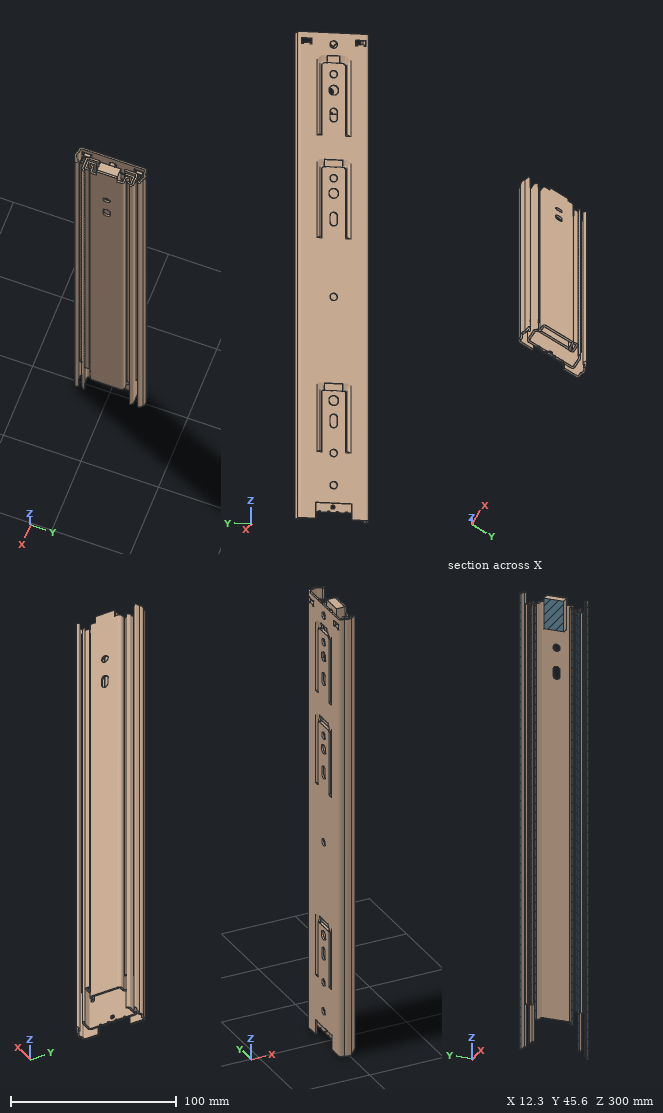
import cadquery as cq


LENGTH = 300.0
HALF_WIDTH = 22.8
STACK_DEPTH = 12.3
SHEET = 1.2

FLANGE_Y = 21.3
OUTER_CORNER_RADIUS = 1.2
RACE_START_X = 3.5
RACE_END_X = 7.8
LIP_Y = 20.5
LIP_X = 10.5
LIP_TIP_X = 9.5
LIP_TIP_Y = 19.5
LIP_CHAMFER = 3.5
NOTCH_WIDTH = 22.2
NOTCH_HEIGHT = 10.0

SMALL_HOLE = 4.5
LARGE_HOLE = 6.0
SLOT_LENGTH = 8.5
SMALL_HOLE_HEIGHTS = (292.8, 274.5, 210.3, 137.0, 40.8, 21.0)
LARGE_HOLE_HEIGHTS = (264.5, 201.0, 73.2)
SLOT_HEIGHTS = (249.3, 185.0, 60.5)

BEADS = ((236.5, 286.0, 3.0, 7.8), (173.0, 221.7, 2.0, 11.5), (41.0, 83.7, 1.2, 11.5))
BEAD_HALF_WIDTH = 10.5
BEAD_FLOOR_HALF_WIDTH = 8.5
BEAD_INNER_HALF_WIDTH = 7.5
BEAD_BAR = 4.5
BEAD_DEPTH = 1.0
BEAD_BACK_X = 1.95

WINDOW_WIDTH = 6.3
WINDOW_HEIGHT = 3.5
WINDOW_Y = 16.8
WINDOW_Z = 294.3
TAB_WIDTH = 4.2
TAB_THICKNESS = 1.0
TAB_END_X = BEAD_BACK_X

MIDDLE_BOTTOM = 4.5
MIDDLE_TOP = 294.0
MIDDLE_WEB_X = 2.0
MIDDLE_FLANGE_Y = 16.2
MIDDLE_BEND_X = 10.2
MIDDLE_TIP_X = 11.5
MIDDLE_TIP_Y = 15.0
MIDDLE_OPENING_WIDTH = 16.2
END_HOLE = 2.5
END_HOLE_Z = 7.8
END_NOTCH = 1.5
END_NOTCH_Y = (-8.5, -2.7, 2.7, 8.5)

INNER_BOTTOM = 21.0
INNER_TOP = 295.0
INNER_FLANGE_Y = 10.5
INNER_FLANGE_END_X = 7.8
INNER_LIP_X = 7.0
INNER_LIP_Y = 12.0
INNER_HOLE = 4.5
INNER_HOLE_Z = 265.8

CAGE_BOTTOM = 30.0
CAGE_TOP = 293.5
OUTER_CAGE_SHEET = 0.5
OUTER_CAGE_X = 3.0
OUTER_CAGE_END_X = 7.2
OUTER_CAGE_Y = 19.0
OUTER_CAGE_FOOT_Y = 17.5
INNER_CAGE_SHEET = 1.2
INNER_CAGE_X = 4.8
INNER_CAGE_END_X = 9.5
INNER_CAGE_Y = 14.7
INNER_CAGE_HOOK_Y = 13.0
CAGE_OPENING_WIDTH = 18.5

OPENING_BOTTOM = 250.2

STOP_WIDTH = 13.2
STOP_X = 5.5
STOP_BOTTOM = 279.0
STOP_TOP = 299.5
STUD_DIAMETER = 3.5
STUD_X = 1.5
STUD_Z = 294.0


def box(x_range, y_range, z_range):
    """A block between the given limits."""
    size = [end - start for start, end in (x_range, y_range, z_range)]
    corner = (x_range[0], y_range[0], z_range[0])
    return cq.Workplane("XY").box(*size, centered=False).translate(corner)


def sheet(centreline, thickness, bottom, top):
    """Sheet metal with round edges that follows an open centreline in the XY plane."""
    section = centreline.wire().offset2D(thickness / 2)
    return section.extrude(top - bottom).translate((0, 0, bottom))


def both_sides(half):
    """One solid from a half section and its mirror image about Y = 0."""
    return half.union(half.mirror("XZ")).clean()


def top_opening(width):
    """Cutter that opens a rail or cage at the centre, from OPENING_BOTTOM upwards."""
    return box((0, STACK_DEPTH), (-width / 2, width / 2), (OPENING_BOTTOM, LENGTH))


def web_hole(diameter, heights):
    """Round cutters along X, centred on the rails."""
    points = [(0, z) for z in heights]
    return cq.Workplane("YZ").pushPoints(points).circle(diameter / 2).extrude(STACK_DEPTH)


def web_slot(length, heights):
    """Upright slot cutters along X, as wide as the small holes."""
    points = [(0, z) for z in heights]
    return cq.Workplane("YZ").pushPoints(points).slot2D(length, SMALL_HOLE, 90).extrude(STACK_DEPTH)


def panel(plane, half_width, bottom, top, chamfer):
    """Upright panel outline with its two upper corners cut off."""
    right = [
        (half_width, bottom),
        (half_width, top - chamfer),
        (half_width - chamfer, top),
    ]
    left = [(-y, z) for y, z in reversed(right)]
    return plane.polyline(right + left).close()


def bead_ridge(bottom, top, chamfer):
    """U-shaped ridge that stands out behind the outer web along a bead."""
    ridge = panel(cq.Workplane("YZ"), BEAD_HALF_WIDTH, bottom, top, chamfer).extrude(BEAD_BACK_X)
    inside = BEAD_INNER_HALF_WIDTH - SHEET
    centre = panel(cq.Workplane("YZ"), inside, bottom, top - BEAD_BAR - SHEET, chamfer / 2)
    return ridge.cut(centre.extrude(BEAD_BACK_X))


def bead_groove(bottom, top, chamfer):
    """U-shaped groove with a sloping outer flank and an upright inner wall."""
    slope = BEAD_HALF_WIDTH - BEAD_FLOOR_HALF_WIDTH
    floor_edge = BEAD_FLOOR_HALF_WIDTH - BEAD_INNER_HALF_WIDTH
    bar_bottom = top - BEAD_BAR
    mouth = panel(cq.Workplane("YZ"), BEAD_HALF_WIDTH, bottom, top, chamfer)
    floor_plane = mouth.workplane(offset=BEAD_DEPTH)
    floor_top = bar_bottom + floor_edge
    groove = panel(
        floor_plane, BEAD_FLOOR_HALF_WIDTH, bottom + slope / 2, floor_top, chamfer / 2
    ).loft(ruled=True)
    centre = panel(cq.Workplane("YZ"), BEAD_INNER_HALF_WIDTH, bottom, bar_bottom, chamfer / 2)
    return groove.cut(centre.extrude(BEAD_DEPTH))


def make_outer_rail():
    web_x = SHEET / 2
    race_y = HALF_WIDTH - SHEET / 2
    race_middle_x = (RACE_START_X + RACE_END_X) / 2
    half_line = (
        cq.Workplane("XY")
        .moveTo(web_x, 0)
        .lineTo(web_x, FLANGE_Y - OUTER_CORNER_RADIUS)
        .radiusArc((web_x + OUTER_CORNER_RADIUS, FLANGE_Y), OUTER_CORNER_RADIUS)
        .lineTo(RACE_START_X, FLANGE_Y)
        .threePointArc((race_middle_x, race_y), (RACE_END_X, FLANGE_Y))
        .lineTo(LIP_X, LIP_Y)
        .lineTo(LIP_TIP_X, LIP_TIP_Y)
    )
    rail = both_sides(sheet(half_line, SHEET, 0, LENGTH))

    for bottom, top, chamfer, width in BEADS:
        rail = rail.union(bead_ridge(bottom, top, chamfer))
        rail = rail.cut(bead_groove(bottom, top, chamfer))
        rail = rail.cut(box((0, BEAD_BACK_X), (-width / 2, width / 2), (top - BEAD_BAR, top)))

    rail = rail.cut(web_hole(SMALL_HOLE, SMALL_HOLE_HEIGHTS))
    rail = rail.cut(web_hole(LARGE_HOLE, LARGE_HOLE_HEIGHTS))
    rail = rail.cut(web_slot(SLOT_LENGTH, SLOT_HEIGHTS))

    window_bottom = WINDOW_Z - WINDOW_HEIGHT / 2
    for side in (1, -1):
        centre = side * WINDOW_Y
        window_y = (centre - WINDOW_WIDTH / 2, centre + WINDOW_WIDTH / 2)
        window = box((0, SHEET), window_y, (window_bottom, window_bottom + WINDOW_HEIGHT))
        tab_y = (centre - TAB_WIDTH / 2, centre + TAB_WIDTH / 2)
        tab = box((0, TAB_END_X), tab_y, (window_bottom, window_bottom + TAB_THICKNESS))
        rail = rail.cut(window).union(tab)

    notch = box((0, SHEET), (-NOTCH_WIDTH / 2, NOTCH_WIDTH / 2), (0, NOTCH_HEIGHT))
    rail = rail.cut(notch)

    lip_end = LIP_X + SHEET
    slope = [(lip_end - LIP_CHAMFER, 0), (lip_end, 0), (lip_end, LIP_CHAMFER)]
    slope_cutter = cq.Workplane("XZ").polyline(slope).close().extrude(HALF_WIDTH, both=True)
    return rail.cut(slope_cutter)


def make_middle_rail():
    web_x = MIDDLE_WEB_X + SHEET / 2
    half_line = (
        cq.Workplane("XY")
        .moveTo(web_x, 0)
        .lineTo(web_x, MIDDLE_FLANGE_Y - SHEET)
        .radiusArc((web_x + SHEET, MIDDLE_FLANGE_Y), SHEET)
        .lineTo(MIDDLE_BEND_X, MIDDLE_FLANGE_Y)
        .lineTo(MIDDLE_TIP_X, MIDDLE_TIP_Y)
    )
    rail = both_sides(sheet(half_line, SHEET, MIDDLE_BOTTOM, MIDDLE_TOP))

    rail = rail.cut(top_opening(MIDDLE_OPENING_WIDTH))
    rail = rail.cut(web_hole(END_HOLE, (END_HOLE_Z,)))

    notch_points = [(y, MIDDLE_BOTTOM) for y in END_NOTCH_Y]
    notches = cq.Workplane("YZ").pushPoints(notch_points).circle(END_NOTCH / 2).extrude(STACK_DEPTH)
    return rail.cut(notches)


def make_inner_rail():
    web_x = STACK_DEPTH - SHEET / 2
    half_line = (
        cq.Workplane("XY")
        .moveTo(web_x, 0)
        .lineTo(web_x, INNER_FLANGE_Y - SHEET)
        .radiusArc((web_x - SHEET, INNER_FLANGE_Y), -SHEET)
        .lineTo(INNER_FLANGE_END_X, INNER_FLANGE_Y)
        .lineTo(INNER_LIP_X, INNER_LIP_Y)
    )
    rail = both_sides(sheet(half_line, SHEET, INNER_BOTTOM, INNER_TOP))

    tongue_x = (STACK_DEPTH - SHEET, STACK_DEPTH)
    rail = rail.union(box(tongue_x, (-STOP_WIDTH / 2, STOP_WIDTH / 2), (INNER_BOTTOM, STOP_TOP)))

    rail = rail.cut(web_hole(INNER_HOLE, (INNER_HOLE_Z,)))
    return rail.cut(web_slot(SLOT_LENGTH, SLOT_HEIGHTS[:1]))


def make_outer_cage(side):
    """Ball cage strip between the outer and middle flanges, at Y > 0 for side = 1."""
    channel = (
        cq.Workplane("XY")
        .moveTo(OUTER_CAGE_X, OUTER_CAGE_FOOT_Y)
        .lineTo(OUTER_CAGE_X, OUTER_CAGE_Y)
        .lineTo(OUTER_CAGE_END_X, OUTER_CAGE_Y)
        .lineTo(OUTER_CAGE_END_X, OUTER_CAGE_FOOT_Y)
    )
    cage = sheet(channel, OUTER_CAGE_SHEET, CAGE_BOTTOM, CAGE_TOP)
    return cage if side > 0 else cage.mirror("XZ")


def make_inner_cage():
    """Channel-shaped ball cage between the middle and inner rails."""
    half_line = (
        cq.Workplane("XY")
        .moveTo(INNER_CAGE_X, 0)
        .lineTo(INNER_CAGE_X, INNER_CAGE_Y)
        .lineTo(INNER_CAGE_END_X, INNER_CAGE_Y)
        .lineTo(INNER_CAGE_END_X, INNER_CAGE_HOOK_Y)
    )
    cage = both_sides(sheet(half_line, INNER_CAGE_SHEET, CAGE_BOTTOM, CAGE_TOP))
    return cage.cut(top_opening(CAGE_OPENING_WIDTH))


def make_end_stop():
    """Block against the inner web, with a stud towards the outer web."""
    half = STOP_WIDTH / 2
    block = box((STOP_X, STACK_DEPTH - SHEET), (-half, half), (STOP_BOTTOM, STOP_TOP))
    stud_base = cq.Workplane("YZ", origin=(STUD_X, 0, STUD_Z)).circle(STUD_DIAMETER / 2)
    return block.union(stud_base.extrude(STOP_X - STUD_X))


outer_rail = make_outer_rail()
middle_rail = make_middle_rail()
inner_rail = make_inner_rail()
outer_cages = [make_outer_cage(side) for side in (1, -1)]
inner_cage = make_inner_cage()
end_stop = make_end_stop()

result = cq.Compound.makeCompound(
    [
        outer_rail.val(),
        middle_rail.val(),
        inner_rail.val(),
        *[cage.val() for cage in outer_cages],
        inner_cage.val(),
        end_stop.val(),
    ]
)